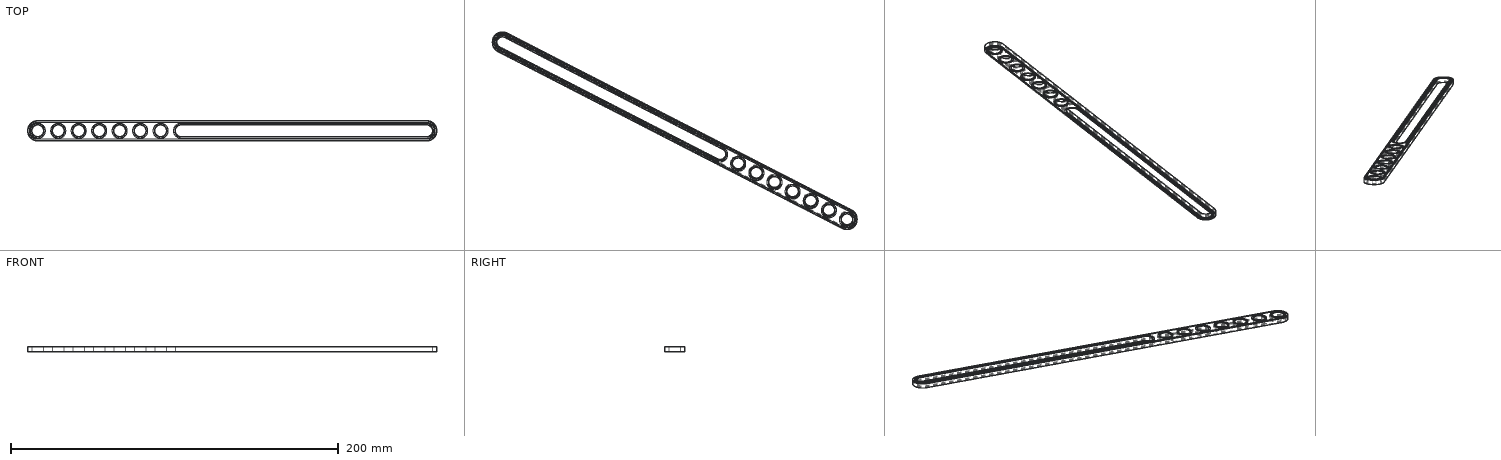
import cadquery as cq

pitch = 12.5
cell_count = 20
round_hole_count = 7
length = cell_count * pitch
width = pitch
thickness = pitch / 4

bore_diameter = 7.0
collar_diameter = 9.2

edge_chamfer = 0.3

rail_width = (collar_diameter - bore_diameter) / 2
recess_depth = 0.2


def cell_center(index):
    """X position of a cell's centre, with the beam centred on the origin."""
    return (index + 0.5) * pitch - length / 2


def make_rounded_strip(first_cell, last_cell, diameter, height):
    """Round-ended strip on the XY plane whose ends are centred on the given cells."""
    first_x = cell_center(first_cell)
    last_x = cell_center(last_cell)
    outline = cq.Workplane("XY").center((first_x + last_x) / 2, 0)
    return outline.slot2D(last_x - first_x + diameter, diameter).extrude(height)


def make_openings(diameter, height):
    """Round holes and slot, or their collars, as solids on the XY plane."""
    centers = [(cell_center(cell), 0) for cell in range(round_hole_count)]
    rounds = cq.Workplane("XY").pushPoints(centers).circle(diameter / 2).extrude(height)
    return rounds.union(make_rounded_strip(round_hole_count, cell_count - 1, diameter, height))


def make_bar():
    """Round-ended bar pierced by the holes and the slot, with bevelled edges."""
    bar = make_rounded_strip(0, cell_count - 1, width, thickness)
    bar = bar.cut(make_openings(bore_diameter, thickness))
    return bar.faces("|Z").edges().chamfer(edge_chamfer)


def make_recess():
    """Recess volume on the XY plane: the inside of the rail less the collars."""
    recess = make_rounded_strip(0, cell_count - 1, width - 2 * rail_width, recess_depth)
    return recess.cut(make_openings(collar_diameter, recess_depth))


recess = make_recess()
result = make_bar().cut(recess).cut(recess.translate((0, 0, thickness - recess_depth)))